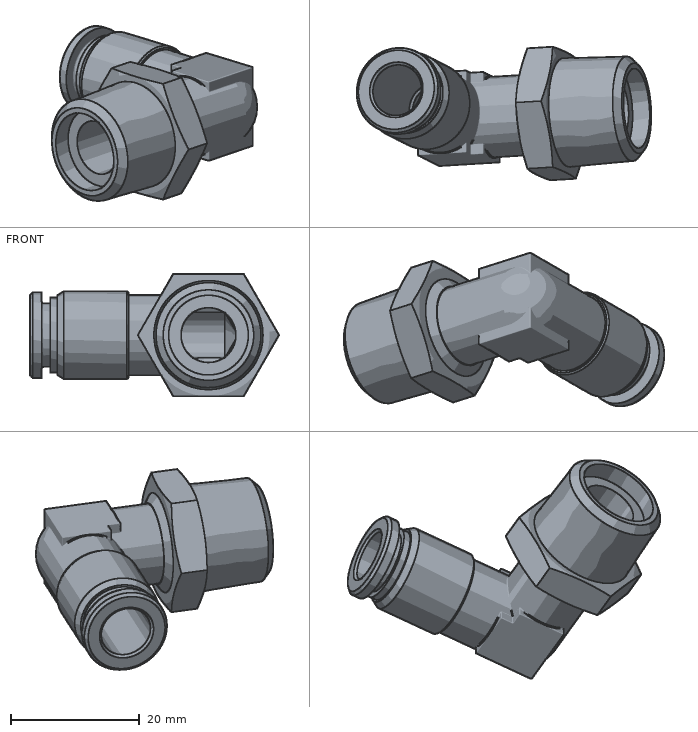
import cadquery as cq
import math


overall_x = 38.67
overall_y = 36.7
hex_across_flats = 19.0
hex_corner_radius = hex_across_flats / math.sqrt(3)
tube_end = overall_x - hex_corner_radius
sleeve_radius = 6.85
thread_end = overall_y - sleeve_radius

body_radius = 6.25
body_fillet = 0.15

sleeve_back = 12.37
sleeve_front = 23.47
sleeve_back_chamfer = 0.27
sleeve_front_length = 1.05
sleeve_front_radius = 6.2
ring_front = 24.55
ring_radius = 5.85
neck_radius = 4.95
neck_fillet = 0.27
collar_back = 25.87
collar_radius = 6.7
collar_chamfer = 0.45

flange_back = 12.37
flange_back_radius = 6.38
flange_front_radius = 7.8
hex_back = 13.4
hex_front = 18.35
hex_chamfer_angle = 15
thread_start_radius = 8.45
thread_taper = 1 / 32
thread_chamfer = 1.12

drill_half_angle = 60
tube_radius = 4.0
mouth_radius = 4.37
mouth_depth = 0.4
tube_stop = 9.65
tube_stop_length = 0.4
tube_bore_radius = 3.55
tube_bore_past_centre = 2.55
thread_bore_radius = 4.25
counterbore_radius = 6.2
counterbore_depth = 2.8

pad_half_width = 4.0
pad_arm_length = 6.07
pad_height = 6.5


def turned(profile):
    """Solid of revolution about +X from a closed (distance, radius) outline."""
    return profile.close().revolve(360, (0, 0, 0), (1, 0, 0))


def along_tube(solid):
    """Turn a solid built along +X to point along the tube arm, -X."""
    return solid.rotate((0, 0, 0), (0, 0, 1), 180)


def along_thread(solid):
    """Turn a solid built along +X to point along the threaded arm, -Y."""
    return solid.rotate((0, 0, 0), (0, 0, 1), -90)


def outline(start=0):
    """Begin a (distance, radius) outline on the axis of revolution."""
    return cq.Workplane("XY").moveTo(start, 0)


def tube_arm():
    """Body arm, sleeve, ring and grooved release collar."""
    corner = neck_fillet * (1 - math.sqrt(0.5))
    profile = (
        outline()
        .lineTo(0, body_radius)
        .lineTo(sleeve_back, body_radius)
        .lineTo(sleeve_back, sleeve_radius - sleeve_back_chamfer)
        .lineTo(sleeve_back + sleeve_back_chamfer, sleeve_radius)
        .lineTo(sleeve_front - sleeve_front_length, sleeve_radius)
        .lineTo(sleeve_front, sleeve_front_radius)
        .lineTo(sleeve_front, ring_radius)
        .lineTo(ring_front, ring_radius)
        .lineTo(ring_front, neck_radius)
        .lineTo(collar_back - neck_fillet, neck_radius)
        .threePointArc(
            (collar_back - corner, neck_radius + corner),
            (collar_back, neck_radius + neck_fillet),
        )
        .lineTo(collar_back, collar_radius)
        .lineTo(tube_end - collar_chamfer, collar_radius)
        .lineTo(tube_end, collar_radius - collar_chamfer)
        .lineTo(tube_end, 0)
    )
    return along_tube(turned(profile))


def thread_arm():
    """Body arm, conical flange and tapered thread blank."""
    chamfer_start = thread_end - thread_chamfer
    thread_tip_radius = thread_start_radius - thread_taper * (chamfer_start - hex_front)
    profile = (
        outline()
        .lineTo(0, body_radius)
        .lineTo(flange_back, body_radius)
        .lineTo(flange_back, flange_back_radius)
        .lineTo(hex_back, flange_front_radius)
        .lineTo(hex_front, thread_start_radius)
        .lineTo(chamfer_start, thread_tip_radius)
        .lineTo(thread_end, thread_tip_radius - thread_chamfer)
        .lineTo(thread_end, 0)
    )
    return along_thread(turned(profile))


def hex_nut():
    """Hexagon with corners on +X and -X, both ends bevelled from the flats outwards."""
    flat_radius = hex_across_flats / 2
    bevel = (hex_corner_radius - flat_radius) * math.tan(math.radians(hex_chamfer_angle))
    hexagon = (
        cq.Workplane("XZ", origin=(0, -hex_back, 0))
        .polygon(6, 2 * hex_corner_radius)
        .extrude(hex_front - hex_back)
    )
    bevelled_blank = turned(
        outline(hex_back)
        .lineTo(hex_back, flat_radius)
        .lineTo(hex_back + bevel, hex_corner_radius)
        .lineTo(hex_front - bevel, hex_corner_radius)
        .lineTo(hex_front, flat_radius)
        .lineTo(hex_front, 0)
    )
    return hexagon.intersect(along_thread(bevelled_blank))


def marking_pads():
    """L-shaped block through the elbow, standing proud above and below it."""
    return (
        cq.Workplane("XY")
        .workplane(offset=-pad_height)
        .moveTo(pad_half_width, pad_half_width)
        .lineTo(-pad_arm_length, pad_half_width)
        .lineTo(-pad_arm_length, -pad_half_width)
        .lineTo(-pad_half_width, -pad_half_width)
        .lineTo(-pad_half_width, -pad_arm_length)
        .lineTo(pad_half_width, -pad_arm_length)
        .close()
        .extrude(2 * pad_height)
    )


def drill_point(radius):
    """Length of the conical end of a drilled hole."""
    return radius / math.tan(math.radians(drill_half_angle))


def tube_bore():
    """Tube socket with a lead-in and a bevelled stop, then a drilled hole past the centre."""
    profile = (
        outline(-tube_bore_past_centre - drill_point(tube_bore_radius))
        .lineTo(-tube_bore_past_centre, tube_bore_radius)
        .lineTo(tube_stop, tube_bore_radius)
        .lineTo(tube_stop + tube_stop_length, tube_radius)
        .lineTo(tube_end - mouth_depth, tube_radius)
        .lineTo(tube_end, mouth_radius)
        .lineTo(tube_end, 0)
    )
    return along_tube(turned(profile))


def thread_bore():
    """Counterbored hole drilled to the elbow centre."""
    profile = (
        outline(-drill_point(thread_bore_radius))
        .lineTo(0, thread_bore_radius)
        .lineTo(thread_end - counterbore_depth, thread_bore_radius)
        .lineTo(thread_end - counterbore_depth, counterbore_radius)
        .lineTo(thread_end, counterbore_radius)
        .lineTo(thread_end, 0)
    )
    return along_thread(turned(profile))


def is_inner_mitre(edge):
    """True for the curved edge where the two arms meet inside the elbow."""
    centre = edge.Center()
    return edge.geomType() == "ELLIPSE" and max(centre.x, centre.y) < -pad_half_width / 2


def is_below_pad_face(edge):
    """True for edges that do not lie in the outer face of a pad."""
    return abs(edge.Center().z) < pad_height - body_fillet / 2


def elbow():
    """Both arms with a ball corner and the marking pads, small fillets blending them."""
    corner_ball = cq.Workplane("XY").sphere(body_radius)
    body = tube_arm().union(thread_arm()).union(corner_ball).union(marking_pads())

    clearance = body_fillet / 2
    low = -pad_arm_length - clearance
    high = pad_half_width + clearance
    top = pad_height + clearance
    around_pads = cq.selectors.BoxSelector((low, low, -top), (high, high, top), boundingbox=True)

    pad_sides = body.edges(around_pads).filter(is_below_pad_face)
    mitre = body.edges().filter(is_inner_mitre)
    blended = pad_sides.add(mitre).fillet(body_fillet)
    return blended.faces("<Z or >Z").edges().fillet(body_fillet)


result = elbow().union(hex_nut()).cut(tube_bore()).cut(thread_bore())